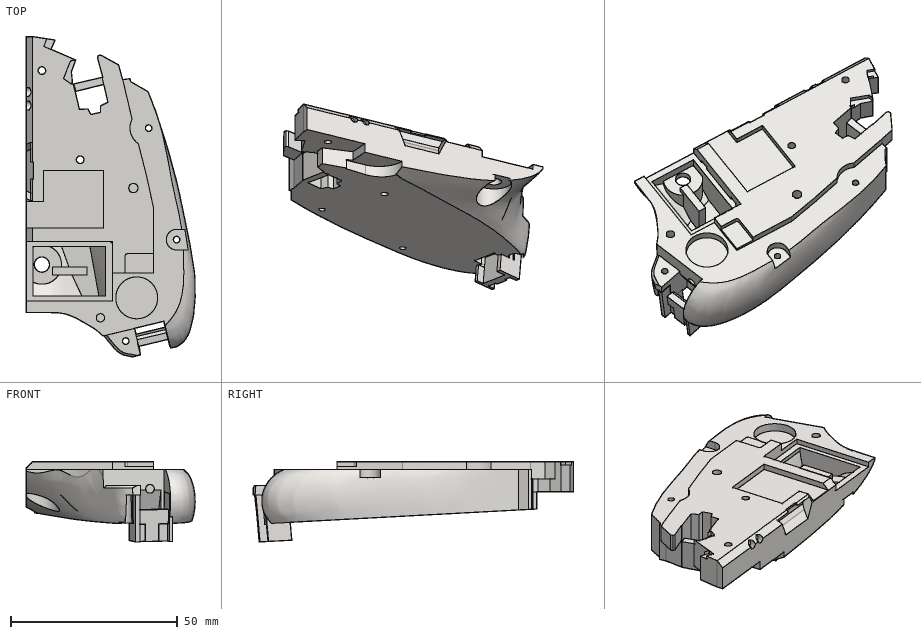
import cadquery as cq

LENGTH = 96.33
WIDTH = 50.85
RIM_Z = -2.37
TAB_Z = -7.2
TAB_CHAMFER = 0.8
TAB_EDGE_POINT = (29.0, 0.9)
NOSE_BOTTOM_Z = -9.1
ARM_BOTTOM_Z = -5.2
BODY_LOW_Z = -19.0
BASE_FRONT_Z = -14.3
BASE_FRONT_Y = 85.3
BASE_SLOPE = 0.054
EDGE_CHAMFER = 1.9
SWITCH_ANGLE = 13.5
OVERSHOOT = 40.0

SLOT_ORIGIN = (32.5, 8.6)
SLOT_WIDTH = 9.2

FOOT_TILT = 5.0
FOOT_PIVOT_Z = -18.0

FRAME_Z = -3.9
FRAME_X = 25.9
FRAME_Y = (16.9, 34.7)
WINDOW_X = (2.1, 23.8)
WINDOW_Y = (18.4, 33.2)
WINDOW_LIP = 1.2
CAVITY_LOW_X = (21.2, 17.2)
CLIP_X = (5.7, 21.8)
CLIP_WIDTH = 2.6
CLIP_DEPTH = 0.8
CLIP_HEIGHT = 0.9
RIB_X = (7.9, 18.2)
RIB_Y = (24.7, 27.1)
RIB_TOP_Z = -5.2
CORNER_RADIUS = 0.8
CAVITY_SHIFT = 2.0
SHELL = 2.2

DECK_LEFT = [(0, LENGTH), (2.0, LENGTH), (8.7, 95.3), (7.5, 92.5), (14.9, 89.3), (13.6, 85.7), (14.0, 82.0)]
ARM = [(23.0, 84.0), (21.4, 89.9), (21.6, 90.6), (22.4, 90.8), (27.8, 87.8), (29.0, 83.4)]
DECK_EAST_X = 38.25
DECK_REAR_Y = 25.2
DECK_BAY = [(31.8, 71.5), (31.2, 68.5), (33.7, 64.1)]
DECK_EAST_CURVE = [(36.5, 53.0), (DECK_EAST_X, 44.9)]
NOSE_ROOT = [(14.0, 78.0), (0, 78.0)]
ARM_ROOT = [(29.0, 80.0), (23.5, 80.0)]
BODY_FRONT = [(0, BASE_FRONT_Y), (12.0, BASE_FRONT_Y), (14.0, 82.0), (23.0, 84.0), (29.0, 83.4), (31.2, 83.7),
              (31.4, 82.8)]
SWITCH_SLOT = [(14.2, 82.1), (16.0, 74.5), (18.6, 74.6), (19.4, 72.9), (22.3, 73.6), (22.3, 75.5), (24.5, 76.6),
               (22.7, 84.5)]
RIM_TOP = [(36.6, 79.8), (41.7, 63.8), (44.3, 50.2), (46.7, 38.7), (47.3, 29.0), (46.7, 18.2), (45.3, 14.2),
           (44.2, 12.4), (41.7, 9.4)]
RIM_BULGE = [(36.6, 79.8), (42.0, 64.4), (45.8, 50.2), (48.2, 38.7), (50.45, 26.0), (50.27, 13.0), (49.1, 8.0),
             (47.6, 5.2), (42.9, 2.8)]
BULGE_LEVELS = [(RIM_Z, 0.0), (-5.5, 0.68), (-10.0, 1.0), (-15.0, 0.95), (BODY_LOW_Z, 0.6)]
REAR_EDGE = [(31.9, 0.0), (27.2, 1.7), (23.6, 5.8), (17.7, 10.2), (11.8, 12.9), (5.9, 13.4)]
REAR_Y = 13.4

HOLLOW_STATIONS = [(-4.0, 13.3, 70.0, 2.3), (0, 13.3, 64.0, 1.75), (5.9, 13.3, 52.0, 0.3),
                   (11.8, 12.8, 36.0, 0), (17.7, 10.1, 20.5, 0), (23.6, 5.7, 10.0, 0),
                   (27.2, 1.6, 5.0, 0), (30.0, 0.2, 2.5, 0), (33.0, -0.7, 1.1, 0)]
HOLLOW_CURVE = [(-0.01, -0.05), (0.04, 0.23), (0.12, 0.44), (0.24, 0.64),
                (0.38, 0.78), (0.6, 0.9), (0.8, 0.965), (1.1, 1.03)]
SURFACE_TOLERANCE = 0.08

THROUGH_HOLES = [(4.7, 86.1, 2.2), (16.2, 59.3, 2.2), (36.8, 68.8, 1.9), (45.2, 35.3, 1.9), (29.9, 4.8, 1.9)]
RIM_SCREW = THROUGH_HOLES[3]
TAB_SCREW = THROUGH_HOLES[4]
RIM_BORE_DIA = 6.2
RIM_BORE_DEPTH = 2.5
BLIND_HOLES = [(32.2, 50.8, 2.8, 0.0), (22.3, 11.8, 2.5, RIM_Z)]
BLIND_DEPTH = 4.0
MAIN_SCREW = (4.7, 27.8)
MAIN_SCREW_DIA = 4.5
MAIN_BOSS_DIA = 11.8
MAIN_BOSS_Z = -6.8
MAIN_BORE_DIA = 10.6
MAIN_BORE_Z = -8.8


POCKET_X = (5.2, 23.2)
POCKET_Y = (38.8, 56.0)
POCKET_MOUTH_Y = 46.8
POCKET_Z = -1.8
CORNER_POCKET_X = 29.7
CORNER_POCKET_Y = 31.1
CORNER_POCKET_Z = -1.5
ROUND_POCKET = (33.2, 17.8, 12.6)
ROUND_POCKET_DEPTH = 2.5
HOOK_STEP = [(13.3, 89.0), (15.0, 89.3), (13.6, 82.0), (11.2, 83.7)]
HOOK_STEP_Z = -1.5
NOSE_STEP = [(6.3, 96.0), (8.8, 95.4), (7.4, 92.4), (5.3, 93.4)]
NOSE_STEP_Z = -1.0

NOTCH_TOP_Z = -0.6
NOTCH_LOW_Z = -6.5
NOTCH_OUTLINE = [(64.8, 0), (46.7, 0), (50.0, NOTCH_LOW_Z), (61.8, NOTCH_LOW_Z)]
NOTCH_DEPTH = 3.0
NOTCH_SECTION = [(0, NOTCH_TOP_Z), (NOTCH_DEPTH, NOTCH_TOP_Z), (NOTCH_DEPTH, -3.0), (2.0, -4.4),
                 (0, NOTCH_LOW_Z)]
LATCH_X = (1.3, 2.2)
LATCH_Y = (53.5, 58.6)
LATCH_Z = -1.1
SIDE_HOLE_YS = (79.7, 75.6)
SIDE_HOLE_Z = -1.3
SIDE_HOLE_DIA = 2.7
SIDE_HOLE_TILT = 0.5
NOSE_RECESS = [(0, 76.0), (7.0, 76.0), (12.0, LENGTH), (0, LENGTH)]
PAD_X = 8.0
PAD_Y = (63.0, 77.9)
PAD_Z = -11.9

FRONT_BAR = [(14.2, 82.1), (14.9, 79.8), (23.3, 81.9), (22.8, 84.1)]
FRONT_BAR_Z = -5.5
BAR_V = (-5.3, -2.3)
BAR_TOP_Z = -14.9
BAR_CHAMFER = 0.9
BAR_NOTCH_U = ((0, 2.2), (6.3, SLOT_WIDTH))
BAR_NOTCH_DEPTH = 0.7
BAR_NOTCH_TOP_Z = -19.2
LEFT_CHEEK_U = (-1.35, 0)
LEFT_CHEEK_V = (-7.2, 1.0)
LEFT_CHEEK_TOP_Z = TAB_Z - 2.0
RIGHT_CHEEK_U = (SLOT_WIDTH, SLOT_WIDTH + 0.95)
RIGHT_CHEEK_V = (-7.0, 0.2)
RIGHT_CHEEK_TOP_Z = -10.0
FOOT_DROP = 5.40
WALL_RELIEF_TOP_Z = -8.6
WALL_RELIEF_DEPTH = 3.0
WALL_HOLE = (37.2, -8.2)
WALL_HOLE_DIA = 2.6
WALL_HOLE_END_Y = 12.5
TAB_RELIEF_DIA = 4.4
TAB_RELIEF_U = (-4.2, 0)
TAB_RELIEF_V = -4.2
TAB_RELIEF_Z = -10.0


def base_z(y):
    return BASE_FRONT_Z - BASE_SLOPE * (BASE_FRONT_Y - y)


def box(x, y, z):
    """Box spanning three (low, high) ranges."""
    return (cq.Workplane("XY").box(x[1] - x[0], y[1] - y[0], z[1] - z[0], centered=False)
            .translate((x[0], y[0], z[0])))


def prism(points, low, high):
    return cq.Workplane("XY").workplane(offset=low).polyline(points).close().extrude(high - low)


def cylinder(x, y, diameter, low, high):
    return cq.Workplane("XY").workplane(offset=low).center(x, y).circle(diameter / 2).extrude(high - low)


def slot_box(u, v, z):
    """Box in the frame of the rear slot: u along its wall, v square to the wall."""
    turned = box(u, v, z).rotate((0, 0, 0), (0, 0, 1), SWITCH_ANGLE)
    return turned.translate((SLOT_ORIGIN[0], SLOT_ORIGIN[1], 0))


def below_base(drop=0.0):
    """Everything under the sloped base, lowered by `drop`."""
    ends = (-OVERSHOOT, LENGTH + OVERSHOOT)
    points = [(ends[0], base_z(ends[0]) - drop), (ends[1], base_z(ends[1]) - drop),
              (ends[1], -2 * OVERSHOOT), (ends[0], -2 * OVERSHOOT)]
    return (cq.Workplane("YZ").workplane(offset=-OVERSHOOT).polyline(points).close()
            .extrude(WIDTH + 2 * OVERSHOOT))


def body_wire(level, bulge):
    side = [(a[0] + bulge * (b[0] - a[0]), a[1] + bulge * (b[1] - a[1])) for a, b in zip(RIM_TOP, RIM_BULGE)]
    path = cq.Workplane("XY").workplane(offset=level).polyline(BODY_FRONT + [side[0]])
    path = path.spline(side[1:], includeCurrent=True).lineTo(*REAR_EDGE[0])
    path = path.spline(REAR_EDGE[1:] + [(0, REAR_Y)], includeCurrent=True).close()
    return path.wire().val()


def make_body():
    wires = [body_wire(level, bulge) for level, bulge in BULGE_LEVELS]
    return cq.Workplane(cq.Solid.makeLoft(wires)).cut(below_base())


def make_deck():
    path = cq.Workplane("XY").workplane(offset=RIM_Z).polyline(DECK_LEFT + ARM + [DECK_BAY[0]])
    path = path.threePointArc(*DECK_BAY[1:]).spline(DECK_EAST_CURVE, includeCurrent=True)
    path = path.lineTo(DECK_EAST_X, DECK_REAR_Y).lineTo(FRAME_X, DECK_REAR_Y)
    deck = path.lineTo(FRAME_X, FRAME_Y[1]).lineTo(0, FRAME_Y[1]).close().extrude(-RIM_Z)
    nose = prism(DECK_LEFT + NOSE_ROOT, NOSE_BOTTOM_Z, 0)
    arm = prism(ARM + ARM_ROOT, ARM_BOTTOM_Z, 0)
    return deck.union(nose).union(arm)


def hollow():
    """Smooth surface through the hollow's sections, swept down and rearwards into a cutter."""
    sections = []
    for x, top_y, low_y, rise in HOLLOW_STATIONS:
        run = low_y - top_y
        drop = base_z(low_y) + rise - RIM_Z
        sections.append([cq.Vector(x, top_y + s * run, RIM_Z + d * drop) for s, d in HOLLOW_CURVE])
    surface = cq.Face.makeSplineApprox(sections, tol=SURFACE_TOLERANCE, minDeg=3, maxDeg=5)
    return cq.Workplane(cq.Solid.extrudeLinear(surface, cq.Vector(0, -OVERSHOOT, -OVERSHOOT)))


def cavity(hollow_cut):
    """Space under the window: its floor follows the hollow and the sloped base."""
    top = [(WINDOW_X[0], WINDOW_Y[0]), (WINDOW_X[1], WINDOW_Y[0]),
           (WINDOW_X[1], WINDOW_Y[1]), (WINDOW_X[0], WINDOW_Y[1])]
    low = [top[0], (CAVITY_LOW_X[0], WINDOW_Y[0]), (CAVITY_LOW_X[1], WINDOW_Y[1]), top[3]]
    lip_z = FRAME_Z - WINDOW_LIP
    space = (cq.Workplane("XY").workplane(offset=lip_z).polyline(top).close()
             .workplane(offset=BODY_LOW_Z - lip_z).polyline(low).close().loft(ruled=True))
    space = space.union(prism(top, lip_z, FRAME_Z))
    space = space.cut(hollow_cut.translate((-CAVITY_SHIFT, 0, SHELL))).cut(below_base(-SHELL))
    boss = cylinder(*MAIN_SCREW, MAIN_BOSS_DIA, BODY_LOW_Z, MAIN_BOSS_Z)
    rib = box(RIB_X, RIB_Y, (BODY_LOW_Z, RIB_TOP_Z))
    return space.cut(boss).cut(rib)


def cut_window(part, hollow_cut):
    frame = box((0, FRAME_X), FRAME_Y, (FRAME_Z, 0)).edges("|Z and >X and >Y").fillet(CORNER_RADIUS)
    part = part.cut(frame)
    for x in CLIP_X:
        part = part.cut(box((x - CLIP_WIDTH / 2, x + CLIP_WIDTH / 2), (FRAME_Y[1], FRAME_Y[1] + CLIP_DEPTH),
                            (FRAME_Z, FRAME_Z + CLIP_HEIGHT)))
    part = part.cut(cavity(hollow_cut))
    part = part.cut(cylinder(*MAIN_SCREW, MAIN_BORE_DIA, BODY_LOW_Z, MAIN_BORE_Z))
    return part.cut(cylinder(*MAIN_SCREW, MAIN_SCREW_DIA, BODY_LOW_Z, 0))


def cut_deck_details(part):
    part = part.cut(box(POCKET_X, POCKET_Y, (POCKET_Z, 0)))
    part = part.cut(box((0, POCKET_X[0]), (POCKET_Y[0], POCKET_MOUTH_Y), (POCKET_Z, 0)))
    corner = box((CORNER_POCKET_X, DECK_EAST_X), (DECK_REAR_Y, CORNER_POCKET_Y), (CORNER_POCKET_Z, 0))
    part = part.cut(corner.edges("|Z and <X and >Y").fillet(CORNER_RADIUS))
    part = part.cut(cylinder(*ROUND_POCKET, RIM_Z - ROUND_POCKET_DEPTH, RIM_Z))
    part = part.cut(prism(HOOK_STEP, HOOK_STEP_Z, 0)).cut(prism(NOSE_STEP, NOSE_STEP_Z, 0))
    x, y, _ = RIM_SCREW
    bore_z = (RIM_Z - RIM_BORE_DEPTH, RIM_Z)
    part = part.cut(cylinder(x, y, RIM_BORE_DIA, *bore_z))
    part = part.cut(box((x, WIDTH + 1), (y - RIM_BORE_DIA / 2, y + RIM_BORE_DIA / 2), bore_z))
    for x, y, diameter in THROUGH_HOLES:
        part = part.cut(cylinder(x, y, diameter, -2 * OVERSHOOT, 0))
    for x, y, diameter, top in BLIND_HOLES:
        part = part.cut(cylinder(x, y, diameter, top - BLIND_DEPTH, top))
    return part


def cut_switch_slot(part):
    part = part.cut(prism(SWITCH_SLOT, -OVERSHOOT, 0))
    bar = prism(FRONT_BAR, BODY_LOW_Z, FRONT_BAR_Z)
    return part.union(bar.cut(below_base()))


def cut_flat_side(part):
    chamfer = cq.Workplane("XZ").polyline([(0, 0), (EDGE_CHAMFER, 0), (0, -EDGE_CHAMFER)]).close()
    chamfer = chamfer.extrude(FRAME_Y[1] - LENGTH).translate((0, FRAME_Y[1], 0))
    part = part.cut(chamfer)
    notch = cq.Workplane("YZ").polyline(NOTCH_OUTLINE).close().extrude(NOTCH_DEPTH + 1)
    part = part.cut(notch.intersect(cq.Workplane("XZ").polyline(NOTCH_SECTION).close().extrude(-LENGTH)))
    part = part.cut(box(LATCH_X, LATCH_Y, (LATCH_Z, 0)))
    reach = box((0, EDGE_CHAMFER), (0, LENGTH), (-OVERSHOOT, 0))
    for y in SIDE_HOLE_YS:
        axis = cq.Plane((0, y, SIDE_HOLE_Z), (0, 1, 0), (1, 0, -SIDE_HOLE_TILT))
        hole = cq.Workplane(axis).circle(SIDE_HOLE_DIA / 2).extrude(2 * EDGE_CHAMFER, both=True)
        part = part.cut(hole.intersect(reach))
    part = part.cut(prism(NOSE_RECESS, -OVERSHOOT, NOSE_BOTTOM_Z))
    pad = cq.Workplane("XY").workplane(offset=-OVERSHOOT).moveTo(0, PAD_Y[0])
    pad = pad.radiusArc((PAD_X, PAD_Y[0] + PAD_X), -PAD_X).lineTo(PAD_X, PAD_Y[1]).lineTo(0, PAD_Y[1])
    return part.cut(pad.close().extrude(OVERSHOOT + PAD_Z))


def rear_foot():
    bar = slot_box((0, SLOT_WIDTH), BAR_V, (-OVERSHOOT, BAR_TOP_Z))
    bar = bar.faces(">Z").edges(">Y").chamfer(BAR_CHAMFER)
    for u in BAR_NOTCH_U:
        bar = bar.cut(slot_box(u, (BAR_V[0], BAR_V[0] + BAR_NOTCH_DEPTH), (-OVERSHOOT, BAR_NOTCH_TOP_Z)))
    left = slot_box(LEFT_CHEEK_U, LEFT_CHEEK_V, (-OVERSHOOT, LEFT_CHEEK_TOP_Z))
    right = slot_box(RIGHT_CHEEK_U, RIGHT_CHEEK_V, (-OVERSHOOT, RIGHT_CHEEK_TOP_Z))
    foot = bar.union(left).union(right)
    return foot.rotate((0, 0, FOOT_PIVOT_Z), (1, 0, FOOT_PIVOT_Z), FOOT_TILT).cut(below_base(FOOT_DROP))


def wall_relief():
    """Undercut of the wall behind the rear slot, deepening down to the bar."""
    points = [(-1, WALL_RELIEF_TOP_Z), (0, WALL_RELIEF_TOP_Z), (WALL_RELIEF_DEPTH, BAR_TOP_Z),
              (WALL_RELIEF_DEPTH, -OVERSHOOT), (-1, -OVERSHOOT)]
    relief = cq.Workplane("YZ").polyline(points).close().extrude(SLOT_WIDTH - 1)
    return relief.rotate((0, 0, 0), (0, 0, 1), SWITCH_ANGLE).translate((*SLOT_ORIGIN, 0))


def cut_rear(part):
    part = part.cut(slot_box((0, SLOT_WIDTH), (-OVERSHOOT, 0), (-OVERSHOOT, 0)))
    part = part.cut(slot_box((-OVERSHOOT / 2, 0), (-OVERSHOOT, 0), (TAB_Z, 0)))
    tab_edge = cq.NearestToPointSelector((*TAB_EDGE_POINT, TAB_Z))
    part = part.edges(tab_edge).chamfer(TAB_CHAMFER)
    part = part.cut(wall_relief())
    hole = cq.Workplane("XZ").center(*WALL_HOLE).circle(WALL_HOLE_DIA / 2).extrude(-WALL_HOLE_END_Y)
    part = part.cut(hole)
    part = part.cut(cylinder(*TAB_SCREW[:2], TAB_RELIEF_DIA, -OVERSHOOT, TAB_RELIEF_Z))
    part = part.cut(slot_box(TAB_RELIEF_U, (-OVERSHOOT, TAB_RELIEF_V), (-OVERSHOOT, TAB_RELIEF_Z)))
    return part.union(rear_foot())


hollow_cut = hollow()
part = make_body().cut(hollow_cut).union(make_deck())
part = cut_window(part, hollow_cut)
part = cut_deck_details(part)
part = cut_switch_slot(part)
part = cut_flat_side(part)
result = cut_rear(part)